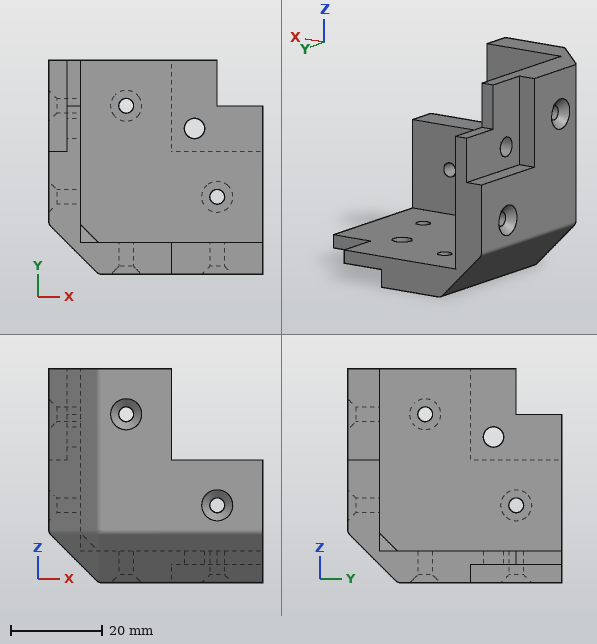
import cadquery as cq

size = 47.0
wall = 7.0
bevel = 11.0
edge_radius = 1.5
corner_fill = 3.9
step = 27.0
flange_end = 37.0
recess_depth = 4.0
screw_near = 17.0
screw_far = 37.0
screw_diameter = 3.2
sink_diameter = 6.8
sink_depth = 1.8
bolt_place = 32.0
bolt_diameter = 4.4

FRONT = cq.Plane(origin=(0, 0, 0), xDir=(0, 0, 1), normal=(0, 1, 0))
LEFT = cq.Plane(origin=(0, 0, 0), xDir=(0, 1, 0), normal=(1, 0, 0))
FLOOR = cq.Plane(origin=(0, 0, 0), xDir=(1, 0, 0), normal=(0, 0, 1))


def box_from(start, length):
    """Box with its lowest corner at start."""
    return cq.Workplane().box(*length, centered=False).translate(start)


def corner_tetrahedron(leg):
    """Solid between the coordinate planes and the plane x + y + z = leg."""
    oblique = cq.Plane(origin=(leg / 3, leg / 3, leg / 3), xDir=(1, -1, 0), normal=(-1, -1, -1))
    half_space = cq.Workplane(oblique).rect(4 * leg, 4 * leg).extrude(2 * leg)
    return box_from((0, 0, 0), (leg, leg, leg)).intersect(half_space)


def outer_body():
    """Cube with three bevelled edges, a cut corner and rounded transitions."""
    body = box_from((0, 0, 0), (size, size, size))
    for plane in (FRONT, LEFT, FLOOR):
        wedge = cq.Workplane(plane).polyline([(0, 0), (bevel, 0), (0, bevel)]).close().extrude(size)
        body = body.cut(wedge)
    body = body.cut(corner_tetrahedron(2 * bevel))
    inside = size - 0.05
    rounded = cq.selectors.BoxSelector((-0.45, -0.45, -0.45), (inside, inside, inside))
    return body.edges(rounded).fillet(edge_radius)


def inner_cavity():
    """Open space between the walls, with its inner corner bevelled."""
    room = size - wall
    cavity = box_from((0, 0, 0), (room, room, room)).cut(corner_tetrahedron(corner_fill))
    return cavity.translate((wall, wall, wall))


def corner_notch(plane, start, depth):
    """Square prism removing the far corner of a wall from its outer face."""
    side = size - start
    return cq.Workplane(plane).center(start, start).rect(side, side, centered=False).extrude(depth)


def screw_holes(plane):
    """Two countersunk through holes in one wall."""
    places = [(screw_near, screw_far), (screw_far, screw_near)]
    bores = cq.Workplane(plane).pushPoints(places).circle(screw_diameter / 2).extrude(wall)
    for x, y in places:
        sink = (
            cq.Workplane(plane)
            .center(x, y)
            .circle(sink_diameter / 2)
            .workplane(offset=sink_depth)
            .circle(screw_diameter / 2)
            .loft()
        )
        bores = bores.union(sink)
    return bores


def bolt_hole(plane):
    """Plain through hole in a flange."""
    return cq.Workplane(plane).center(bolt_place, bolt_place).circle(bolt_diameter / 2).extrude(wall)


result = outer_body().cut(inner_cavity())

result = result.cut(corner_notch(FRONT, step, wall))

for plane in (LEFT, FLOOR):
    result = result.cut(corner_notch(plane, step, recess_depth))
    result = result.cut(corner_notch(plane, flange_end, wall))
    result = result.cut(bolt_hole(plane))

for plane in (FRONT, LEFT, FLOOR):
    result = result.cut(screw_holes(plane))